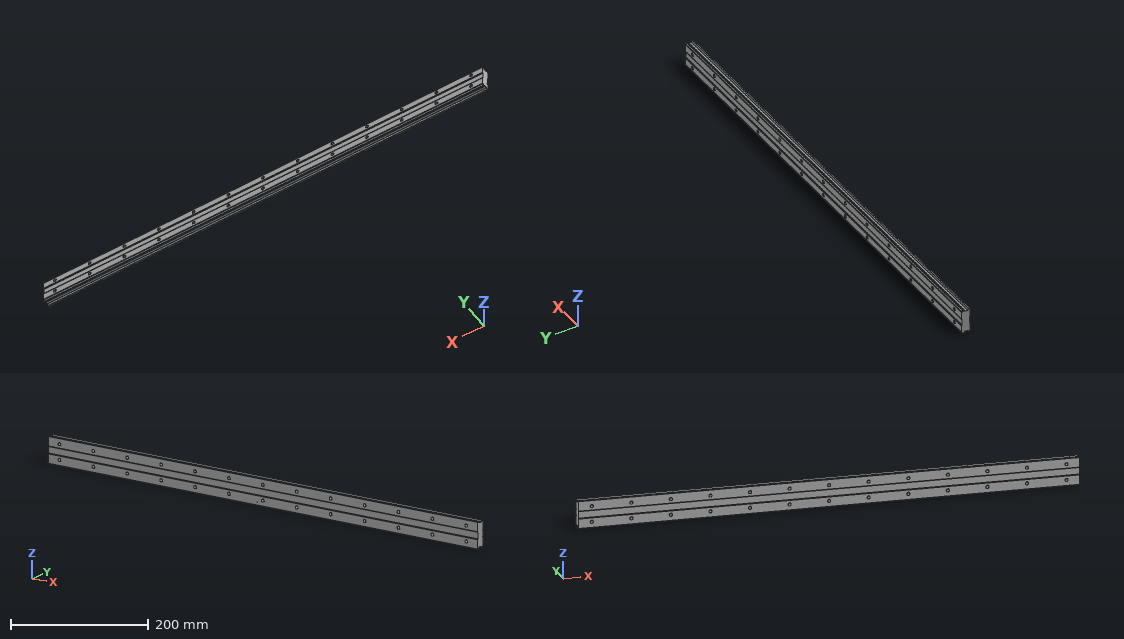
import math

import cadquery as cq

length = 760.0
thickness = 15.0
height = 42.0
corner_chamfer = 0.5

ridge_center_y = 4.3
ridge_top_width = 1.7
ridge_foot_width = 5.2
ridge_depth = 1.75
flank_radius = 2.0
shoulder_angle = 39.0

groove_depth = 2.35
groove_lip_y = -4.5
groove_wall_angle = 55.0

web_groove_width = 12.0
web_groove_depth = 1.0

hole_diameter = 4.5
hole_pitch = 60.0
holes_per_row = 13
row_spacing = 24.0

half_length = length / 2
half_thickness = thickness / 2
half_height = height / 2


def flank_middle(side):
    """Middle of the concave arc from ridge top to foot; side is +1 toward +Y, -1 toward -Y."""
    run = (ridge_foot_width - ridge_top_width) / 2
    chord = math.hypot(run, ridge_depth)
    sag = flank_radius - math.sqrt(flank_radius**2 - (chord / 2) ** 2)
    from_center = (ridge_foot_width + ridge_top_width) / 4 - sag * ridge_depth / chord
    below_top = ridge_depth / 2 + sag * run / chord
    return (ridge_center_y + side * from_center, half_height - below_top)


def upper_half():
    """Upper half of the bar, from the middle plane to the top edge."""
    shoulder_slope = math.tan(math.radians(shoulder_angle))
    foot_z = half_height - ridge_depth
    floor_z = half_height - groove_depth
    outer_foot = (ridge_center_y + ridge_foot_width / 2, foot_z)
    outer_top = (ridge_center_y + ridge_top_width / 2, half_height)
    inner_top = (ridge_center_y - ridge_top_width / 2, half_height)
    inner_foot = (ridge_center_y - ridge_foot_width / 2, foot_z)
    outer_edge_z = foot_z - (half_thickness - outer_foot[0]) * shoulder_slope
    floor_start_y = inner_foot[0] - (foot_z - floor_z) / shoulder_slope
    floor_end_y = groove_lip_y + groove_depth / math.tan(math.radians(groove_wall_angle))

    web_y = half_thickness - web_groove_depth
    web_outer_z = web_groove_width / 2
    web_inner_z = web_outer_z - web_groove_depth

    profile = (
        cq.Workplane("YZ")
        .moveTo(web_y, 0)
        .lineTo(web_y, web_inner_z)
        .lineTo(half_thickness, web_outer_z)
        .lineTo(half_thickness, outer_edge_z)
        .lineTo(*outer_foot)
        .threePointArc(flank_middle(1), outer_top)
        .lineTo(*inner_top)
        .threePointArc(flank_middle(-1), inner_foot)
        .lineTo(floor_start_y, floor_z)
        .lineTo(floor_end_y, floor_z)
        .lineTo(groove_lip_y, half_height)
        .lineTo(corner_chamfer - half_thickness, half_height)
        .lineTo(-half_thickness, half_height - corner_chamfer)
        .lineTo(-half_thickness, web_outer_z)
        .lineTo(-web_y, web_inner_z)
        .lineTo(-web_y, 0)
        .close()
    )
    return profile.extrude(half_length, both=True)


def mounting_holes():
    """Cylinders for the two rows of holes, passing right through along Y."""
    return (
        cq.Workplane("XZ")
        .rarray(hole_pitch, row_spacing, holes_per_row, 2)
        .circle(hole_diameter / 2)
        .extrude(half_thickness, both=True)
    )


top = upper_half()
bar = top.union(top.mirror("XY")).clean()
result = bar.cut(mounting_holes())